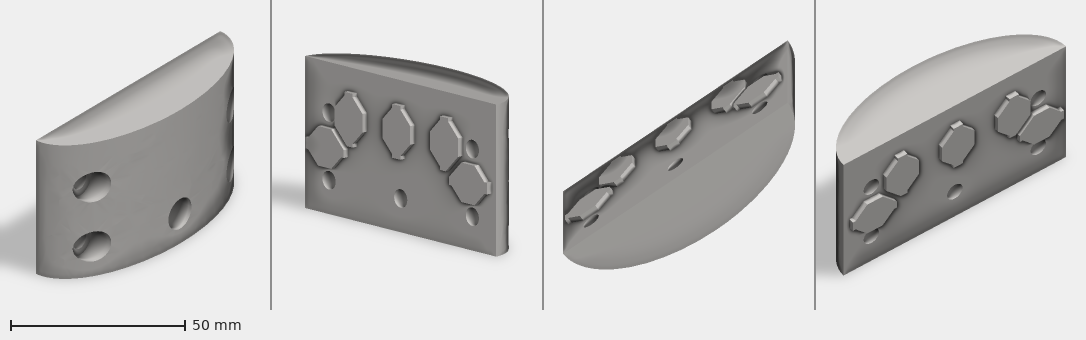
import cadquery as cq

BODY_LENGTH = 80.0
BODY_DEPTH = 20.0
BODY_HEIGHT = 45.0

HOLE_DIAMETER = 5.5
COUNTERBORE_DIAMETER = 10.0
COUNTERBORE_FLOOR_X = 8.0
LOWER_ROW_Z = 10.0
UPPER_ROW_Z = 30.0
OUTER_HOLE_Y = 30.0
HOLE_CENTERS = [
    (-OUTER_HOLE_Y, LOWER_ROW_Z),
    (0.0, LOWER_ROW_Z),
    (OUTER_HOLE_Y, LOWER_ROW_Z),
    (-OUTER_HOLE_Y, UPPER_ROW_Z),
    (OUTER_HOLE_Y, UPPER_ROW_Z),
]

PAD_THICKNESS = 1.75
PAD_LENGTH = 15.9
PAD_WIDTH = 11.7
PAD_SIDE_LENGTH = 5.5
TAB_WIDTH = 3.4
UPRIGHT_PAD_Y = 20.0
UPRIGHT_PAD_Z = 30.0
SIDEWAYS_PAD_Y = 30.0
SIDEWAYS_PAD_Z = 20.0


def make_body():
    """Half ellipse with its long axis along Y, extruded up along Z."""
    half_length = BODY_LENGTH / 2
    block = cq.Workplane("XY").ellipse(BODY_DEPTH, half_length).extrude(BODY_HEIGHT)
    front_half = cq.Workplane("XY").box(
        BODY_DEPTH, BODY_LENGTH, BODY_HEIGHT, centered=(False, True, False)
    )
    return block.intersect(front_half)


def cut_screw_holes(body):
    """Through holes from the flat back, widened in front of the counterbore floor."""
    holes = cq.Workplane("YZ").pushPoints(HOLE_CENTERS).circle(HOLE_DIAMETER / 2).extrude(BODY_DEPTH)
    counterbores = (
        cq.Workplane("YZ", origin=(COUNTERBORE_FLOOR_X, 0, 0))
        .pushPoints(HOLE_CENTERS)
        .circle(COUNTERBORE_DIAMETER / 2)
        .extrude(BODY_DEPTH - COUNTERBORE_FLOOR_X)
    )
    return body.cut(holes).cut(counterbores)


def make_pad(bevelled_tab=False):
    """Upright pad centred on the origin, raised toward -X.

    A bevelled pad has its sloped edge on the -Y, -Z corner run straight on
    through the tab to the end of the pad.
    """
    half_length = PAD_LENGTH / 2
    half_width = PAD_WIDTH / 2
    half_side = PAD_SIDE_LENGTH / 2
    half_tab = TAB_WIDTH / 2
    tab_base = half_side + half_width - half_tab

    if bevelled_tab:
        bevel_end = half_side + half_width - half_length
        lower_corner = [(-bevel_end, -half_length)]
    else:
        lower_corner = [(-half_tab, -tab_base), (-half_tab, -half_length)]

    outline = [
        (half_width, half_side),
        (half_tab, tab_base),
        (half_tab, half_length),
        (-half_tab, half_length),
        (-half_tab, tab_base),
        (-half_width, half_side),
        (-half_width, -half_side),
        *lower_corner,
        (half_tab, -half_length),
        (half_tab, -tab_base),
        (half_width, -half_side),
    ]
    return cq.Workplane("YZ").polyline(outline).close().extrude(-PAD_THICKNESS)


def add_pads(body):
    """A plain pad in the middle; at each end an upright and a sideways pad, bevel to bevel."""
    middle = make_pad().translate((0, 0, UPRIGHT_PAD_Z))
    bevelled = make_pad(bevelled_tab=True)
    upright = bevelled.translate((0, -UPRIGHT_PAD_Y, UPRIGHT_PAD_Z))
    sideways = bevelled.mirror("XZ").rotate((0, 0, 0), (1, 0, 0), 90)
    sideways = sideways.translate((0, -SIDEWAYS_PAD_Y, SIDEWAYS_PAD_Z))
    body = body.union(middle)
    for pad in (upright, sideways):
        body = body.union(pad).union(pad.mirror("XZ"))
    return body


result = add_pads(cut_screw_holes(make_body()))